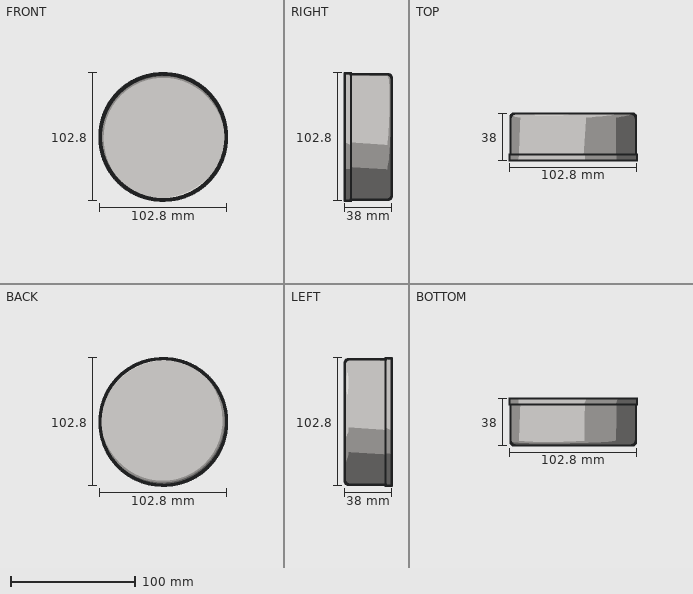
import cadquery as cq
import math

depth = 38.0
rim_diameter = 102.8
rim_length = 4.9
outer_diameter = 101.2
inner_diameter = 100.3
inner_corner_radius = 3.0

rim_radius = rim_diameter / 2
outer_radius = outer_diameter / 2
inner_radius = inner_diameter / 2
wall = outer_radius - inner_radius
outer_corner_radius = inner_corner_radius + wall
lip_radius = (rim_radius - inner_radius) / 2

open_end = -depth / 2
closed_end = depth / 2
floor = closed_end - wall
lip_start = open_end + lip_radius
rim_end = open_end + rim_length

corner_x = inner_radius - inner_corner_radius
corner_y = floor - inner_corner_radius


def corner_middle(radius):
    """Midpoint of a quarter-circle corner arc."""
    offset = radius * math.sqrt(0.5)
    return (corner_x + offset, corner_y + offset)


section = (
    cq.Workplane("XY")
    .moveTo(0, closed_end)
    .lineTo(corner_x, closed_end)
    .threePointArc(corner_middle(outer_corner_radius), (outer_radius, corner_y))
    .lineTo(outer_radius, rim_end)
    .lineTo(rim_radius, rim_end)
    .lineTo(rim_radius, lip_start)
    .threePointArc((inner_radius + lip_radius, open_end), (inner_radius, lip_start))
    .lineTo(inner_radius, corner_y)
    .threePointArc(corner_middle(inner_corner_radius), (corner_x, floor))
    .lineTo(0, floor)
    .close()
)

result = section.revolve(360, (0, 0, 0), (0, 1, 0))